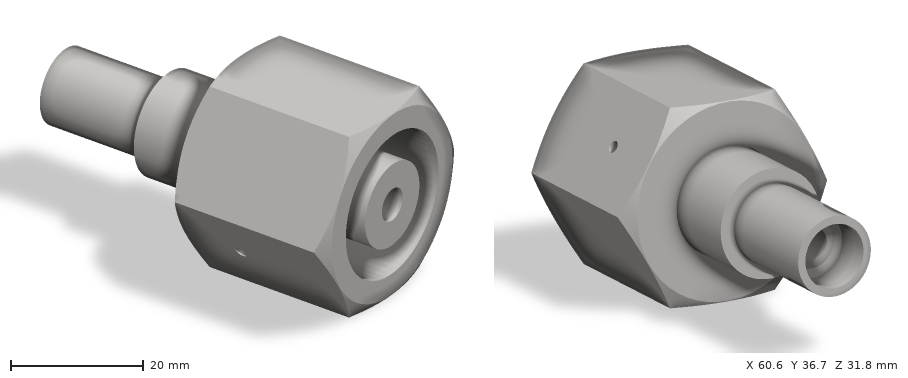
import cadquery as cq
import math


total_length = 60.65
tube_radius = 6.35
tube_length = 19.05
collar_radius = 8.75
tube_bore_radius = 5.1
tube_bore_depth = 6.35
bore_cone_radius = 3.8
bore_cone_length = 0.55
through_bore_radius = 2.7
shoulder_length = 3.05
nose_radius = 7.1

nut_sides = 6
nut_width = 31.8
nut_start = 31.9
nose_overhang = 0.03
chamfer_radius = 15.75
chamfer_angle = 30.0
collar_clearance = 0.1
cavity_radius = 12.1
cavity_start = 37.6

weep_hole_radius = 1.0
weep_hole_x = 42.45
weep_hole_angle = 30.0

nut_end = total_length - nose_overhang
nut_corner_radius = nut_width / 2 / math.cos(math.pi / nut_sides)
shoulder_radius = cavity_radius - collar_clearance


def cylinder(start, end, radius):
    """Solid cylinder around the X axis."""
    return cq.Workplane("YZ", origin=(start, 0, 0)).circle(radius).extrude(end - start)


def turned(profile):
    """Closed outline of (x, radius) points revolved around the X axis."""
    return cq.Workplane("XY").polyline(profile).close().revolve(360, (0, 0, 0), (1, 0, 0))


def make_gland():
    """Stepped tube with a shoulder that holds the nut and a nose at its far end."""
    cone_end = tube_bore_depth + bore_cone_length
    shoulder_end = cavity_start + shoulder_length
    profile = [
        (0, tube_bore_radius),
        (0, tube_radius),
        (tube_length, tube_radius),
        (tube_length, collar_radius),
        (cavity_start, collar_radius),
        (cavity_start, shoulder_radius),
        (shoulder_end, shoulder_radius),
        (shoulder_end, nose_radius),
        (total_length, nose_radius),
        (total_length, through_bore_radius),
        (cone_end, through_bore_radius),
        (cone_end, bore_cone_radius),
        (tube_bore_depth, tube_bore_radius),
    ]
    return turned(profile)


def nut_chamfer_envelope():
    """Turned shape whose cones cut the corners at both ends of the hexagon."""
    chamfer_length = (nut_corner_radius - chamfer_radius) * math.tan(math.radians(chamfer_angle))
    profile = [
        (nut_start, 0),
        (nut_start, chamfer_radius),
        (nut_start + chamfer_length, nut_corner_radius),
        (nut_end - chamfer_length, nut_corner_radius),
        (nut_end, chamfer_radius),
        (nut_end, 0),
    ]
    return turned(profile)


def weep_holes():
    """One drill through the axis that pierces both opposite flats."""
    angle = math.radians(weep_hole_angle)
    axis = cq.Vector(0, math.cos(angle), math.sin(angle))
    centre = cq.Vector(weep_hole_x, 0, 0)
    drill = cq.Solid.makeCylinder(weep_hole_radius, nut_width, centre - axis * (nut_width / 2), axis)
    return cq.Workplane("XY").add(drill)


def make_nut():
    """Chamfered hexagon with a collar bore, an open cavity and weep holes."""
    hexagon = (
        cq.Workplane("YZ", origin=(nut_start, 0, 0))
        .polygon(nut_sides, 2 * nut_corner_radius)
        .extrude(nut_end - nut_start)
    )
    collar_bore = cylinder(nut_start, cavity_start, collar_radius + collar_clearance)
    cavity = cylinder(cavity_start, nut_end, cavity_radius)
    blank = hexagon.intersect(nut_chamfer_envelope())
    return blank.cut(collar_bore).cut(cavity).cut(weep_holes())


gland = make_gland()
nut = make_nut()

result = cq.Compound.makeCompound([gland.val(), nut.val()])